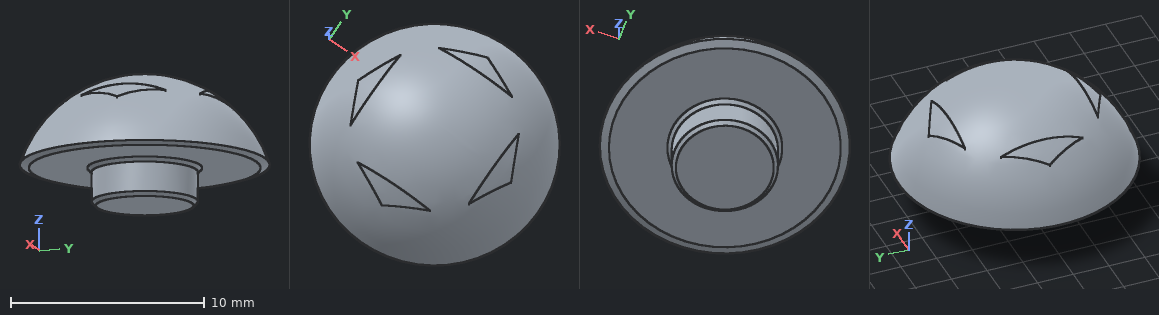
import cadquery as cq
import math

rim_diameter = 12.95
outer_sphere_radius = 6.82
shell_thickness = 0.5

stud_diameter = 5.5
stud_chamfer = 0.22
stud_flare = 0.22

arrow_count = 4
arrow_foot_height = 3.88
arrow_back_offset = 3.72
arrow_point_offset = 4.8
arrow_half_width = 2.28

inner_sphere_radius = outer_sphere_radius - shell_thickness
rim_radius = rim_diameter / 2
rim_height = math.sqrt(outer_sphere_radius**2 - rim_radius**2)
underside_radius = rim_radius * inner_sphere_radius / outer_sphere_radius
underside_height = rim_height * inner_sphere_radius / outer_sphere_radius
stud_radius = stud_diameter / 2
arrow_height = outer_sphere_radius - arrow_foot_height


def on_arc(sphere_radius):
    """Point of a sphere's profile midway between its equator and its top."""
    reach = sphere_radius / math.sqrt(2)
    return (reach, reach)


def revolve_about_z(profile):
    return profile.close().revolve(360, (0, 0), (0, 1))


def make_arrows():
    """Ring of outward-pointing triangles, trimmed flush with the outer sphere."""
    arrow = (
        cq.Workplane("XY")
        .workplane(offset=arrow_foot_height)
        .polyline([
            (arrow_back_offset, -arrow_half_width),
            (arrow_point_offset, 0),
            (arrow_back_offset, arrow_half_width),
        ])
        .close()
        .extrude(arrow_height)
        .intersect(cq.Workplane("XY").sphere(outer_sphere_radius))
    )
    step = 360 / arrow_count
    return [arrow.rotate((0, 0, 0), (0, 0, 1), index * step) for index in range(arrow_count)]


def make_core(arrows):
    """Stud, inner dome and arrows moulded as one piece."""
    profile = (
        cq.Workplane("XZ")
        .lineTo(stud_radius - stud_chamfer, 0)
        .lineTo(stud_radius, stud_chamfer)
        .lineTo(stud_radius, underside_height - stud_flare)
        .lineTo(stud_radius + stud_flare, underside_height)
        .lineTo(underside_radius, underside_height)
        .threePointArc(on_arc(inner_sphere_radius), (0, inner_sphere_radius))
    )
    core = revolve_about_z(profile)
    for arrow in arrows:
        core = core.union(arrow)
    return core.solids()


def make_shell(arrows):
    """Dome shell with a conical rim square to the sphere and a window for each arrow."""
    profile = (
        cq.Workplane("XZ")
        .moveTo(underside_radius, underside_height)
        .lineTo(rim_radius, rim_height)
        .threePointArc(on_arc(outer_sphere_radius), (0, outer_sphere_radius))
        .lineTo(0, inner_sphere_radius)
        .threePointArc(on_arc(inner_sphere_radius), (underside_radius, underside_height))
    )
    shell = revolve_about_z(profile)
    for arrow in arrows:
        shell = shell.cut(arrow)
    return shell.solids()


arrows = make_arrows()
core = make_core(arrows)
shell = make_shell(arrows)

result = cq.Compound.makeCompound([core.val(), shell.val()])